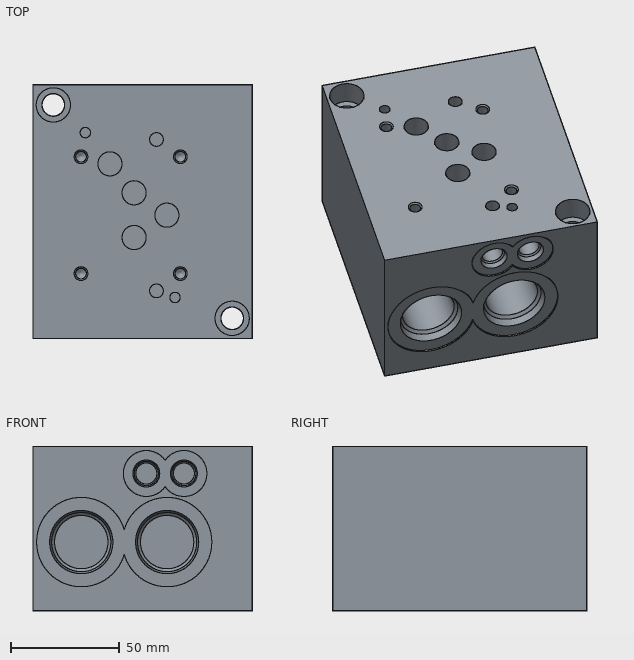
import cadquery as cq
import math

BLOCK_X = 101.6
BLOCK_Y = 117.6
BLOCK_Z = 76.2

MOUNT_INSET = 9.4
MOUNT_DIA = 10.3
MOUNT_CBORE_DIA = 15.9
MOUNT_CBORE_DEPTH = 11.8

PATTERN_Y = 57.2
BOLT_RIGHT_X = 68.2
BOLT_SPACING_X = 46.0
BOLT_SPACING_Y = 54.1
BOLT_DIA = 4.9
BOLT_CHAMFER_DIA = 6.4
BOLT_DEPTH = 17.6
BOLT_TIP_ANGLE = 118.0

FLOW_DIA = 11.2
FLOW_DEPTH = 14.1
PRESSURE_X = 62.0
WORK_X = 46.8
WORK_SPACING_Y = 20.7
TANK_X = 35.6
TANK_OFFSET_Y = 23.8

PILOT_DIA = 6.4
PILOT_DEPTH = 14.1
PILOT_X = 57.2
PILOT_SPACING_Y = 70.1

PIN_DIA = 4.8
PIN_DEPTH = 7.0
PIN_POINTS = [(24.2, 95.4), (65.7, 19.0)]

SPOTFACE_DEPTH = 0.8

MAIN_PORT_XS = [22.3, 62.1]
MAIN_PORT_Z = 31.9
MAIN_SPOTFACE_DIA = 41.4
MAIN_SEAT_DIA = 29.3
MAIN_THROAT_DIA = 27.4
MAIN_SEAT_DEPTH = 3.5
MAIN_BORE_DIA = 24.7
MAIN_BORE_DEPTH = 28.2

SMALL_PORT_XS = [52.5, 69.9]
SMALL_PORT_Z = 63.6
SMALL_SPOTFACE_DIA = 21.3
SMALL_SEAT_DIA = 12.5
SMALL_THROAT_DIA = 11.2
SMALL_SEAT_DEPTH = 2.5
SMALL_BORE_DIA = 9.8
SMALL_BORE_DEPTH = 16.5


def top_cylinder(point, diameter, depth):
    """Flat-bottomed cutter going down from the top face."""
    return cq.Workplane("XY", origin=(*point, BLOCK_Z)).circle(diameter / 2).extrude(-depth)


def mount_cutter(point):
    through = top_cylinder(point, MOUNT_DIA, BLOCK_Z)
    return through.union(top_cylinder(point, MOUNT_CBORE_DIA, MOUNT_CBORE_DEPTH))


def bolt_cutter(point):
    """Tapped hole with a 45 degree entry chamfer and a conical drill tip."""
    radius = BOLT_DIA / 2
    chamfer_radius = BOLT_CHAMFER_DIA / 2
    chamfer_depth = chamfer_radius - radius
    tip_height = radius / math.tan(math.radians(BOLT_TIP_ANGLE / 2))
    half_section = (
        cq.Workplane("XZ")
        .moveTo(0, 0)
        .lineTo(chamfer_radius, 0)
        .lineTo(radius, -chamfer_depth)
        .lineTo(radius, -BOLT_DEPTH)
        .lineTo(0, -BOLT_DEPTH - tip_height)
        .close()
    )
    return half_section.revolve(360, (0, 0), (0, 1)).translate((*point, BLOCK_Z))


def port_cutter(x, z, spotface_dia, seat_dia, throat_dia, seat_depth, bore_dia, bore_depth):
    """Spotface, tapered seat, 45 degree lead-in and bore, going in from the front face."""
    seat_end = SPOTFACE_DEPTH + seat_depth
    lead_in_end = seat_end + (throat_dia - bore_dia) / 2
    half_section = (
        cq.Workplane("XY")
        .moveTo(0, 0)
        .lineTo(spotface_dia / 2, 0)
        .lineTo(spotface_dia / 2, SPOTFACE_DEPTH)
        .lineTo(seat_dia / 2, SPOTFACE_DEPTH)
        .lineTo(throat_dia / 2, seat_end)
        .lineTo(bore_dia / 2, lead_in_end)
        .lineTo(bore_dia / 2, bore_depth)
        .lineTo(0, bore_depth)
        .close()
    )
    return half_section.revolve(360, (0, 0), (0, 1)).translate((x, 0, z))


result = cq.Workplane("XY").box(BLOCK_X, BLOCK_Y, BLOCK_Z, centered=False)

mount_points = [
    (MOUNT_INSET, BLOCK_Y - MOUNT_INSET),
    (BLOCK_X - MOUNT_INSET, MOUNT_INSET),
]
for mount_point in mount_points:
    result = result.cut(mount_cutter(mount_point))

for bolt_x in (BOLT_RIGHT_X - BOLT_SPACING_X, BOLT_RIGHT_X):
    for side in (-1, 1):
        result = result.cut(bolt_cutter((bolt_x, PATTERN_Y + side * BOLT_SPACING_Y / 2)))

flow_points = [
    (PRESSURE_X, PATTERN_Y),
    (WORK_X, PATTERN_Y - WORK_SPACING_Y / 2),
    (WORK_X, PATTERN_Y + WORK_SPACING_Y / 2),
    (TANK_X, PATTERN_Y + TANK_OFFSET_Y),
]
for flow_point in flow_points:
    result = result.cut(top_cylinder(flow_point, FLOW_DIA, FLOW_DEPTH))

for side in (-1, 1):
    pilot_point = (PILOT_X, PATTERN_Y + side * PILOT_SPACING_Y / 2)
    result = result.cut(top_cylinder(pilot_point, PILOT_DIA, PILOT_DEPTH))

for pin_point in PIN_POINTS:
    result = result.cut(top_cylinder(pin_point, PIN_DIA, PIN_DEPTH))

for port_x in MAIN_PORT_XS:
    result = result.cut(
        port_cutter(
            port_x,
            MAIN_PORT_Z,
            MAIN_SPOTFACE_DIA,
            MAIN_SEAT_DIA,
            MAIN_THROAT_DIA,
            MAIN_SEAT_DEPTH,
            MAIN_BORE_DIA,
            MAIN_BORE_DEPTH,
        )
    )
for port_x in SMALL_PORT_XS:
    result = result.cut(
        port_cutter(
            port_x,
            SMALL_PORT_Z,
            SMALL_SPOTFACE_DIA,
            SMALL_SEAT_DIA,
            SMALL_THROAT_DIA,
            SMALL_SEAT_DEPTH,
            SMALL_BORE_DIA,
            SMALL_BORE_DEPTH,
        )
    )